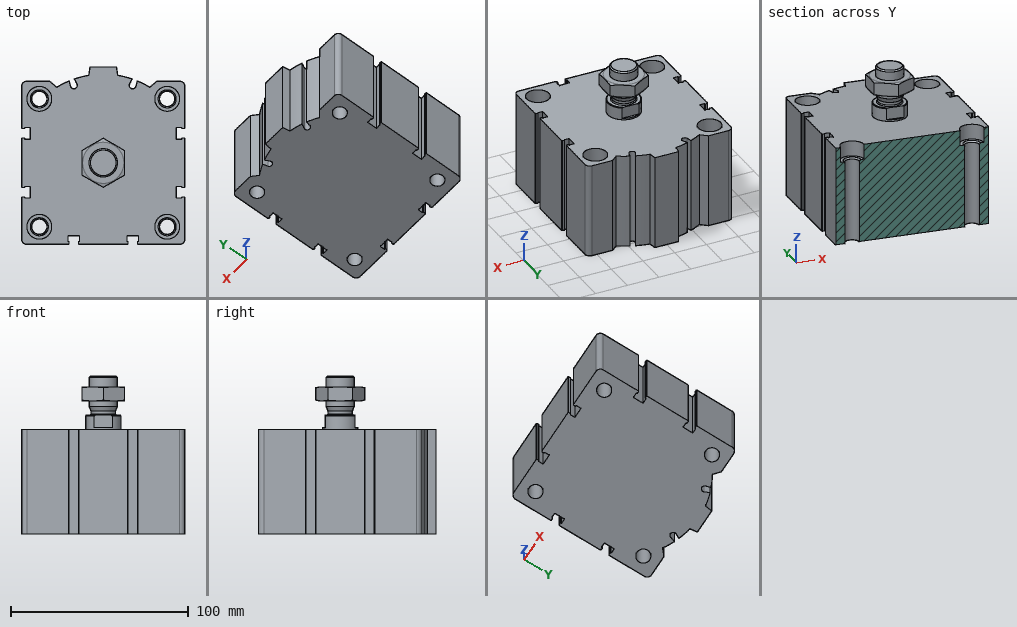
import cadquery as cq
import math

width = 92
height = 59
half = width / 2
corner_radius = 3
crown_radius = 50
notch_x = 26.2
notch_outer_x = 30.2
tab_reach = 54
tab_tip_half = 7.5
tab_root_half = 8.2

slot_offset = 16.6
slot_mouth = 5.2
slot_lip_chamfer = 0.3
slot_width = 6.4
slot_lip = 1.8
slot_depth = 4.8

groove_angle = 20.8
groove_centre_radius = 46.6
groove_diameter = 3.7
groove_mouth = 3

bolt_spacing = 72
bolt_diameter = 8.5
bolt_counterbore = 14
counterbore_depth = 9
bolt_lead_in = 10.2

rod_diameter = 20
rod_shoulder = 8
rod_shoulder_chamfer = 0.4
flats_across = 17
flats_start = 1
neck_diameter = 13.9
neck_flare_diameter = 15
neck_start = 8.7
neck_end = 10.3
thread_diameter = 16
thread_start = 12.9
rod_length = 30
rod_tip_chamfer = 0.8

nut_across_flats = 24
nut_start = 16
nut_thickness = 8
nut_face_diameter = 23.2
nut_chamfer_drop = 0.5


def housing_outline():
    """Square block with an arched back that carries a tapered tab."""
    notch_y = math.sqrt(crown_radius**2 - notch_x**2)
    tab_root_y = math.sqrt(crown_radius**2 - tab_root_half**2)
    mid_angle = (math.atan2(notch_x, notch_y) + math.atan2(tab_root_half, tab_root_y)) / 2
    arc_x = crown_radius * math.sin(mid_angle)
    arc_y = crown_radius * math.cos(mid_angle)
    return (
        cq.Workplane("XY")
        .moveTo(-half, -half)
        .lineTo(half, -half)
        .lineTo(half, half)
        .lineTo(notch_outer_x, half)
        .lineTo(notch_x, notch_y)
        .threePointArc((arc_x, arc_y), (tab_root_half, tab_root_y))
        .lineTo(tab_tip_half, tab_reach)
        .lineTo(-tab_tip_half, tab_reach)
        .lineTo(-tab_root_half, tab_root_y)
        .threePointArc((-arc_x, arc_y), (-notch_x, notch_y))
        .lineTo(-notch_outer_x, half)
        .lineTo(-half, half)
        .close()
    )


def t_slot(offset, turn):
    """T-slot cutter in the front face, turned about the rod axis to its own side."""
    half_mouth = slot_mouth / 2
    half_slot = slot_width / 2
    half_opening = half_mouth + slot_lip_chamfer
    return (
        cq.Workplane("XY")
        .moveTo(-half_opening, 0)
        .lineTo(half_opening, 0)
        .lineTo(half_mouth, slot_lip_chamfer)
        .lineTo(half_mouth, slot_lip - slot_lip_chamfer)
        .lineTo(half_opening, slot_lip)
        .lineTo(half_slot, slot_lip)
        .lineTo(half_slot, slot_depth)
        .lineTo(-half_slot, slot_depth)
        .lineTo(-half_slot, slot_lip)
        .lineTo(-half_opening, slot_lip)
        .lineTo(-half_mouth, slot_lip - slot_lip_chamfer)
        .lineTo(-half_mouth, slot_lip_chamfer)
        .close()
        .extrude(height)
        .translate((offset, -half, 0))
        .rotate((0, 0, 0), (0, 0, 1), turn)
    )


def sensor_groove(angle):
    """Round groove whose walls draw together toward its mouth in the crown."""
    half_bulb = groove_diameter / 2
    half_mouth = groove_mouth / 2
    return (
        cq.Workplane("XY")
        .moveTo(half_bulb, groove_centre_radius)
        .lineTo(half_mouth, crown_radius)
        .lineTo(half_mouth, tab_reach)
        .lineTo(-half_mouth, tab_reach)
        .lineTo(-half_mouth, crown_radius)
        .lineTo(-half_bulb, groove_centre_radius)
        .threePointArc((0, groove_centre_radius - half_bulb), (half_bulb, groove_centre_radius))
        .close()
        .extrude(height)
        .rotate((0, 0, 0), (0, 0, 1), angle)
    )


def bolt_hole():
    """Through hole with a countersunk step up into its counterbore, on the Z axis."""
    floor = height - counterbore_depth
    lead_in_depth = (bolt_lead_in - bolt_diameter) / 2
    return (
        cq.Workplane("XZ")
        .moveTo(0, 0)
        .lineTo(bolt_diameter / 2, 0)
        .lineTo(bolt_diameter / 2, floor - lead_in_depth)
        .lineTo(bolt_lead_in / 2, floor)
        .lineTo(bolt_counterbore / 2, floor)
        .lineTo(bolt_counterbore / 2, height)
        .lineTo(0, height)
        .close()
        .revolve(360, (0, 0, 0), (0, 1, 0))
    )


def make_housing():
    """Cylinder body with rounded corners, side slots, sensor grooves and bolt holes."""
    body = housing_outline().extrude(height)
    for side_x in (-1, 1):
        for side_y in (-1, 1):
            corner = cq.NearestToPointSelector((side_x * half, side_y * half, height / 2))
            body = body.edges("|Z").edges(corner).fillet(corner_radius)
    for turn in (-90, 0, 90):
        for side in (-1, 1):
            body = body.cut(t_slot(side * slot_offset, turn))
    for side in (-1, 1):
        body = body.cut(sensor_groove(side * groove_angle))
    bolt_offset = bolt_spacing / 2
    for side_x in (-1, 1):
        for side_y in (-1, 1):
            body = body.cut(bolt_hole().translate((side_x * bolt_offset, side_y * bolt_offset, 0)))
    return body


def make_rod():
    """Turned rod end with wrench flats, standing on the housing."""
    turned = (
        cq.Workplane("XZ", origin=(0, 0, height))
        .moveTo(0, 0)
        .lineTo(rod_diameter / 2, 0)
        .lineTo(rod_diameter / 2, rod_shoulder - rod_shoulder_chamfer)
        .lineTo(rod_diameter / 2 - rod_shoulder_chamfer, rod_shoulder)
        .lineTo(neck_flare_diameter / 2, rod_shoulder)
        .lineTo(neck_diameter / 2, neck_start)
        .lineTo(neck_diameter / 2, neck_end)
        .lineTo(thread_diameter / 2, thread_start)
        .lineTo(thread_diameter / 2, rod_length - rod_tip_chamfer)
        .lineTo(thread_diameter / 2 - rod_tip_chamfer, rod_length)
        .lineTo(0, rod_length)
        .close()
        .revolve(360, (0, 0, 0), (0, 1, 0))
    )
    flat_depth = (rod_diameter - flats_across) / 2
    flat_height = rod_shoulder - flats_start
    for side in (-1, 1):
        flat = cq.Workplane("XY").box(rod_diameter, flat_depth, flat_height).translate(
            (0, side * (flats_across + flat_depth) / 2, height + flats_start + flat_height / 2)
        )
        turned = turned.cut(flat)
    return turned


def make_nut():
    """Hexagon nut with corners on the Y axis and both faces chamfered."""
    corner_reach = nut_across_flats / math.sqrt(3)
    base = height + nut_start
    hexagon = (
        cq.Workplane("XY", origin=(0, 0, base))
        .polygon(6, 2 * corner_reach)
        .extrude(nut_thickness)
        .rotate((0, 0, 0), (0, 0, 1), 90)
    )
    face_radius = nut_face_diameter / 2
    envelope = (
        cq.Workplane("XZ", origin=(0, 0, base))
        .moveTo(0, 0)
        .lineTo(face_radius, 0)
        .lineTo(corner_reach, nut_chamfer_drop)
        .lineTo(corner_reach, nut_thickness - nut_chamfer_drop)
        .lineTo(face_radius, nut_thickness)
        .lineTo(0, nut_thickness)
        .close()
        .revolve(360, (0, 0, 0), (0, 1, 0))
    )
    bore = cq.Workplane("XY", origin=(0, 0, base)).circle(thread_diameter / 2).extrude(nut_thickness)
    return hexagon.intersect(envelope).cut(bore)


housing = make_housing()
rod = make_rod()
nut = make_nut()

result = cq.Compound.makeCompound([housing.val(), rod.val(), nut.val()])